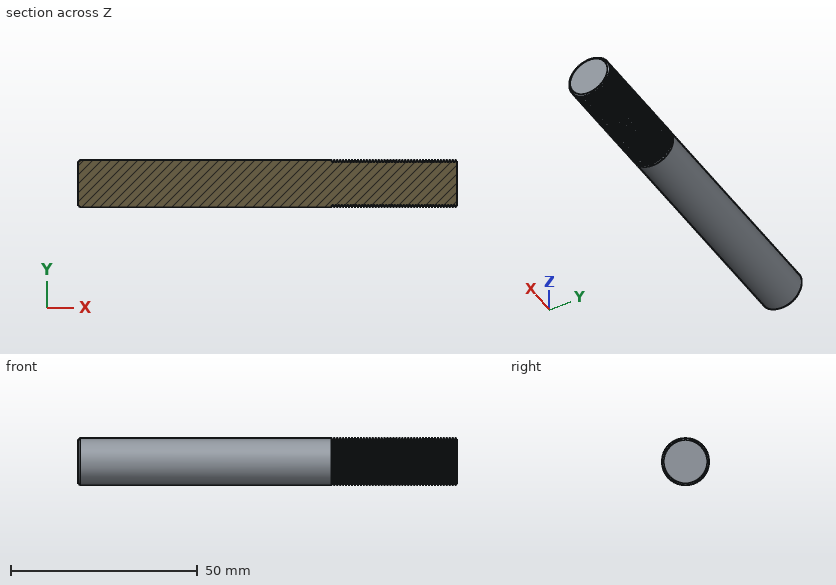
import cadquery as cq

length = 101.6
diameter = 12.7
end_chamfer = 0.6
threads_per_inch = 32
thread_length = 33.668
thread_depth = 0.54
crest_width = 0.0635
root_width = 0.1465

inch = 25.4
pitch = inch / threads_per_inch
radius = diameter / 2
root_radius = radius - thread_depth
flank_width = (pitch - crest_width - root_width) / 2
thread_start = length - thread_length
full_groove_count = int(thread_length / pitch)


def add_groove(profile, start):
    """Extend the profile through one trapezoidal groove and the narrow crest after it."""
    root_start = start + flank_width
    root_end = root_start + root_width
    groove_end = root_end + flank_width
    return (
        profile.lineTo(root_start, root_radius)
        .lineTo(root_end, root_radius)
        .lineTo(groove_end, radius)
        .lineTo(start + pitch, radius)
    )


def add_last_groove(profile, start):
    """Extend the profile down one flank and along the root to the end face, which cuts the groove short."""
    return profile.lineTo(start + flank_width, root_radius).lineTo(length, root_radius)


def make_rod():
    """Revolve the half profile, chamfered at the plain end and grooved at the other, about X."""
    profile = (
        cq.Workplane("XZ")
        .lineTo(0, radius - end_chamfer)
        .lineTo(end_chamfer, radius)
        .lineTo(thread_start, radius)
    )
    for groove in range(full_groove_count):
        profile = add_groove(profile, thread_start + groove * pitch)
    profile = add_last_groove(profile, thread_start + full_groove_count * pitch)
    return profile.lineTo(length, 0).close().revolve(360, (0, 0, 0), (1, 0, 0))


result = make_rod()